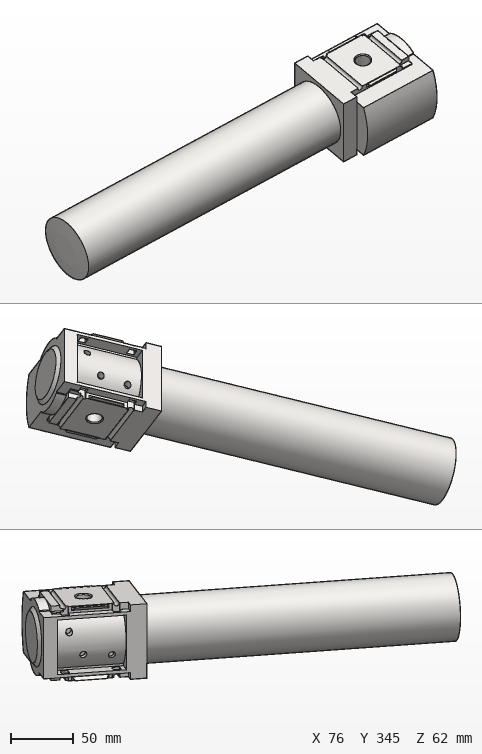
import cadquery as cq


total_length = 345.0
head_size = 62.0
half_head = head_size / 2

tube_diameter = 55.0
tube_length = 258.0
end_taper_length = 1.5
end_flat_diameter = 27.5

collar_length = 13.5
panel_front = 75.5
panel_back = 84.2
cover_half_height = 25.5
plate_corner_x = 39.7
plate_crown_x = 45.0
cap_base_diameter = 48.3
cap_top_diameter = 41.5
cap_end = total_length - tube_length
bulge_width = 30.0
bulge_step = 1.0

port_y = 44.5
pad_half_width = 23.8
pad_half_length = 19.5
groove_width = 4.0
groove_depth = 2.8
ridge_half_width = 19.5
ridge_corner_z = 26.5
ridge_corner_front = 66.0
lip_reach = 3.0
lip_top_z = 30.5
lip_root_z = 27.5
lip_half_length = 15.2
lip_tip_half_length = 12.8
port_diameter = 12.5
port_mouth_diameter = 14.0
port_depth = 17.2

pocket_front = 16.5
pocket_back = 72.8
pocket_half_height = 22.8
pocket_floor_x = -20.0
core_radius = 29.0
core_hole_diameter = 5.5
core_hole_floor_x = -21.5
core_hole_places = [(62.5, 10.7), (51.0, -8.5), (27.5, -10.7)]
slot_left = -28.3
slot_right = -22.5
slot_length = 6.2
slot_offset = 21.0


def box(x0, x1, y0, y1, z0, z1):
    return cq.Workplane("XY").box(x1 - x0, y1 - y0, z1 - z0, centered=False).translate((x0, y0, z0))


def y_cylinder(radius, y0, y1):
    """Cylinder on the tube axis between two Y positions."""
    return cq.Workplane("XZ", origin=(0, y1, 0)).circle(radius).extrude(y1 - y0)


def both_faces(solid):
    """Solid for the +Z face joined with its mirror image for the -Z face."""
    return solid.union(solid.mirror("XY"))


def make_turned_parts():
    """Tube with tapered end, and the tapered cap behind the back panel, as one revolved body."""
    tube_radius = tube_diameter / 2
    profile = [
        (0, -tube_length),
        (end_flat_diameter / 2, -tube_length),
        (tube_radius, end_taper_length - tube_length),
        (tube_radius, collar_length),
        (cap_base_diameter / 2, collar_length),
        (cap_base_diameter / 2, panel_back),
        (cap_top_diameter / 2, cap_end),
        (0, cap_end),
    ]
    return cq.Workplane("XY").polyline(profile).close().revolve(360, (0, 0, 0), (0, 1, 0))


def make_head():
    collar = box(-half_head, half_head, 0, collar_length, -half_head, half_head)
    body = box(-half_head, half_head, collar_length, panel_front, -cover_half_height, cover_half_height)
    pads = box(-pad_half_width, pad_half_width, collar_length, panel_front, -half_head, half_head)
    return collar.union(body).union(pads)


def make_cover():
    """Back panel with a round bulge, and a side plate with a crowned outer face."""
    panel = box(-half_head, half_head, panel_front, panel_back, -cover_half_height, cover_half_height)
    shoulder_z = cover_half_height + bulge_step
    bulge = (
        cq.Workplane("XZ", origin=(0, panel_back, 0))
        .moveTo(-bulge_width / 2, cover_half_height)
        .lineTo(-bulge_width / 2, shoulder_z)
        .threePointArc((0, half_head), (bulge_width / 2, shoulder_z))
        .lineTo(bulge_width / 2, cover_half_height)
        .close()
        .extrude(panel_back - panel_front)
    )
    plate = (
        cq.Workplane("XZ", origin=(0, panel_back, 0))
        .moveTo(half_head, -cover_half_height)
        .lineTo(plate_corner_x, -cover_half_height)
        .threePointArc((plate_crown_x, 0), (plate_corner_x, cover_half_height))
        .lineTo(half_head, cover_half_height)
        .close()
        .extrude(panel_back - collar_length)
    )
    return panel.union(both_faces(bulge)).union(plate)


def make_lip(side):
    """Wedge overhanging the pad edge on one X side: sloped underneath, with slanted ends."""
    root_x = side * pad_half_width
    tip_x = root_x + side * lip_reach
    wedge = (
        cq.Workplane("XZ", origin=(0, port_y + lip_half_length, 0))
        .polyline([(root_x, lip_root_z), (root_x, lip_top_z), (tip_x, lip_top_z)])
        .close()
        .extrude(2 * lip_half_length)
    )
    trapezoid = (
        cq.Workplane("XY")
        .polyline([
            (root_x, port_y - lip_half_length),
            (tip_x, port_y - lip_tip_half_length),
            (tip_x, port_y + lip_tip_half_length),
            (root_x, port_y + lip_half_length),
        ])
        .close()
        .extrude(lip_top_z)
    )
    return wedge.intersect(trapezoid)


def make_groove(side):
    """Round-bottomed groove along X on one Y side of the port pad."""
    inner = port_y + side * pad_half_length
    outer = inner + side * groove_width
    return (
        cq.Workplane("YZ", origin=(-pad_half_width, 0, 0))
        .moveTo(inner, half_head)
        .threePointArc(((inner + outer) / 2, half_head - groove_depth), (outer, half_head))
        .close()
        .extrude(2 * pad_half_width)
    )


def make_ridge_corner(side):
    """Corner removed beside the ridge that stands behind the rear groove."""
    x0, x1 = sorted((side * ridge_half_width, side * pad_half_width))
    return box(x0, x1, ridge_corner_front, panel_front, ridge_corner_z, half_head)


def make_port():
    """Blind port with a countersunk mouth."""
    mouth_depth = (port_mouth_diameter - port_diameter) / 2
    profile = [
        (0, half_head - port_depth),
        (port_diameter / 2, half_head - port_depth),
        (port_diameter / 2, half_head - mouth_depth),
        (port_mouth_diameter / 2, half_head),
        (0, half_head),
    ]
    port = cq.Workplane("XZ").polyline(profile).close().revolve(360, (0, 0, 0), (0, 1, 0))
    return port.translate((0, port_y, 0))


def make_slot(side):
    """Opening through the pocket wall beside one end of a groove."""
    middle = port_y + side * slot_offset
    return box(slot_left, slot_right, middle - slot_length / 2, middle + slot_length / 2,
               pocket_half_height, half_head)


def make_pocket(core):
    """Side pocket around the core, with the small blind holes in the core."""
    opening = box(-half_head, pocket_floor_x, pocket_front, pocket_back,
                  -pocket_half_height, pocket_half_height)
    pocket = opening.cut(core)
    holes = (
        cq.Workplane("YZ", origin=(core_hole_floor_x, 0, 0))
        .pushPoints(core_hole_places)
        .circle(core_hole_diameter / 2)
        .extrude(-half_head - core_hole_floor_x)
    )
    return pocket.union(holes)


core = y_cylinder(core_radius, pocket_front, pocket_back)

result = make_turned_parts().union(make_head()).union(make_cover())
for side in (-1, 1):
    result = result.cut(both_faces(make_groove(side)))
    result = result.cut(both_faces(make_ridge_corner(side)))
    result = result.union(both_faces(make_lip(side)))
    result = result.cut(both_faces(make_slot(side)).cut(core))
result = result.cut(both_faces(make_port())).cut(make_pocket(core))